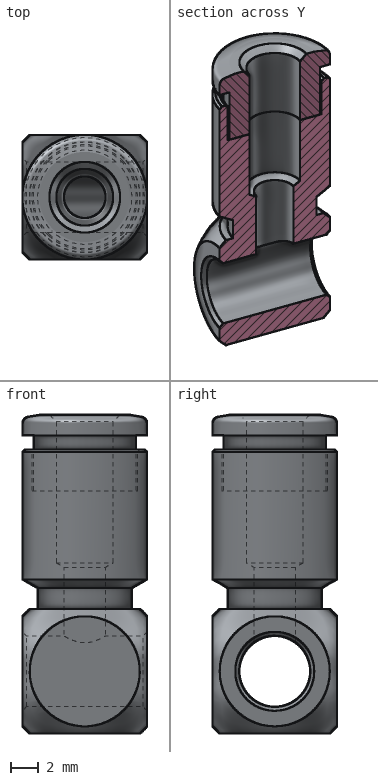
import cadquery as cq
import math

BLOCK_SIZE = 9.0
BALL_DIAMETER = 12.0
CROSS_BORE_DIAMETER = 5.1
CROSS_BORE_CHAMFER = 0.3

BARREL_DIAMETER = BLOCK_SIZE
NECK_DIAMETER = 6.8
NECK_LENGTH = 1.5
SHOULDER_ANGLE = 30.0
BARREL_TOP_Z = 20.5
BARREL_CHAMFER = 0.2

SOCKET_DIAMETER = 7.6
STEM_DIAMETER = 7.4
STEM_INSERTION = 3.0
CAP_GAP = 1.0
CAP_DIAMETER = BLOCK_SIZE
CAP_TOP_Z = 23.0
CAP_FLAT_DIAMETER = 6.5
CAP_SLOPE_ANGLE = 10.0
CAP_EDGE_RADIUS = 0.5

TUBE_DIAMETER = 4.1
TUBE_ENTRY_DIAMETER = 5.1
TUBE_ENTRY_DEPTH = 0.5
TUBE_STOP_Z = 12.0
FLOW_DIAMETER = 3.0
STOP_CONE_ANGLE = 30.0

block_center_z = BLOCK_SIZE / 2
stem_bottom_z = BARREL_TOP_Z - STEM_INSERTION
cap_bottom_z = BARREL_TOP_Z + CAP_GAP


def revolve_about_z(profile):
    """Full turn of an XZ half profile about the Z axis."""
    return profile.close().revolve(360, (0, 0, 0), (0, 1, 0))


def make_block():
    """Cube whose edges and corners are cut back to the ball."""
    cube = cq.Workplane("XY").box(BLOCK_SIZE, BLOCK_SIZE, BLOCK_SIZE)
    ball = cq.Workplane("XY").sphere(BALL_DIAMETER / 2)
    return cube.intersect(ball).translate((0, 0, block_center_z))


def make_barrel():
    """Neck, conical shoulder and chamfered barrel; the neck is rooted in the block."""
    neck_radius = NECK_DIAMETER / 2
    barrel_radius = BARREL_DIAMETER / 2
    shoulder_bottom_z = BLOCK_SIZE + NECK_LENGTH
    shoulder_height = (barrel_radius - neck_radius) * math.tan(math.radians(SHOULDER_ANGLE))
    profile = (
        cq.Workplane("XZ")
        .moveTo(0, block_center_z)
        .lineTo(neck_radius, block_center_z)
        .lineTo(neck_radius, shoulder_bottom_z)
        .lineTo(barrel_radius, shoulder_bottom_z + shoulder_height)
        .lineTo(barrel_radius, BARREL_TOP_Z - BARREL_CHAMFER)
        .lineTo(barrel_radius - BARREL_CHAMFER, BARREL_TOP_Z)
        .lineTo(0, BARREL_TOP_Z)
    )
    return revolve_about_z(profile)


def make_cross_bore():
    """Through bore along X with a chamfer at both mouths."""
    half_length = BLOCK_SIZE / 2
    bore_radius = CROSS_BORE_DIAMETER / 2
    mouth_radius = bore_radius + CROSS_BORE_CHAMFER
    chamfer_start = half_length - CROSS_BORE_CHAMFER
    return (
        cq.Workplane("XY")
        .moveTo(-half_length, 0)
        .lineTo(-half_length, mouth_radius)
        .lineTo(-chamfer_start, bore_radius)
        .lineTo(chamfer_start, bore_radius)
        .lineTo(half_length, mouth_radius)
        .lineTo(half_length, 0)
        .close()
        .revolve(360, (0, 0, 0), (1, 0, 0))
        .translate((0, 0, block_center_z))
    )


def make_tube_passage():
    """Tube bore, conical tube stop and the flow bore that reaches the cross bore."""
    tube_radius = TUBE_DIAMETER / 2
    flow_radius = FLOW_DIAMETER / 2
    stop_height = (tube_radius - flow_radius) * math.tan(math.radians(STOP_CONE_ANGLE))
    profile = (
        cq.Workplane("XZ")
        .moveTo(0, block_center_z)
        .lineTo(flow_radius, block_center_z)
        .lineTo(flow_radius, TUBE_STOP_Z)
        .lineTo(tube_radius, TUBE_STOP_Z + stop_height)
        .lineTo(tube_radius, BARREL_TOP_Z)
        .lineTo(0, BARREL_TOP_Z)
    )
    return revolve_about_z(profile)


def make_sleeve_socket():
    """Flat-bottomed socket for the sleeve stem, chamfered at the mouth like the barrel's rim."""
    socket_radius = SOCKET_DIAMETER / 2
    profile = (
        cq.Workplane("XZ")
        .moveTo(0, stem_bottom_z)
        .lineTo(socket_radius, stem_bottom_z)
        .lineTo(socket_radius, BARREL_TOP_Z - BARREL_CHAMFER)
        .lineTo(socket_radius + BARREL_CHAMFER, BARREL_TOP_Z)
        .lineTo(0, BARREL_TOP_Z)
    )
    return revolve_about_z(profile)


def make_housing():
    """Elbow block and barrel in one piece, with both bores and the sleeve socket."""
    solid = make_block().union(make_barrel())
    return solid.cut(make_cross_bore()).cut(make_tube_passage()).cut(make_sleeve_socket())


def make_release_sleeve():
    """Stem and round-edged cap with a gently sloped rim and a conical tube entry."""
    tube_radius = TUBE_DIAMETER / 2
    stem_radius = STEM_DIAMETER / 2
    cap_radius = CAP_DIAMETER / 2
    cap_flat_radius = CAP_FLAT_DIAMETER / 2
    slope = math.radians(CAP_SLOPE_ANGLE)

    edge_center_radius = cap_radius - CAP_EDGE_RADIUS
    slope_end_radius = edge_center_radius + CAP_EDGE_RADIUS * math.sin(slope)
    slope_end_z = CAP_TOP_Z - (slope_end_radius - cap_flat_radius) * math.tan(slope)
    edge_bottom_z = slope_end_z - CAP_EDGE_RADIUS * math.cos(slope)
    arc_offset = CAP_EDGE_RADIUS * math.sqrt(0.5)

    profile = (
        cq.Workplane("XZ")
        .moveTo(tube_radius, stem_bottom_z)
        .lineTo(stem_radius, stem_bottom_z)
        .lineTo(stem_radius, cap_bottom_z)
        .lineTo(cap_radius, cap_bottom_z)
        .lineTo(cap_radius, edge_bottom_z)
        .threePointArc(
            (edge_center_radius + arc_offset, edge_bottom_z + arc_offset),
            (slope_end_radius, slope_end_z),
        )
        .lineTo(cap_flat_radius, CAP_TOP_Z)
        .lineTo(TUBE_ENTRY_DIAMETER / 2, CAP_TOP_Z)
        .lineTo(tube_radius, CAP_TOP_Z - TUBE_ENTRY_DEPTH)
    )
    return revolve_about_z(profile)


housing = make_housing()
release_sleeve = make_release_sleeve()

result = cq.Compound.makeCompound([housing.val(), release_sleeve.val()])